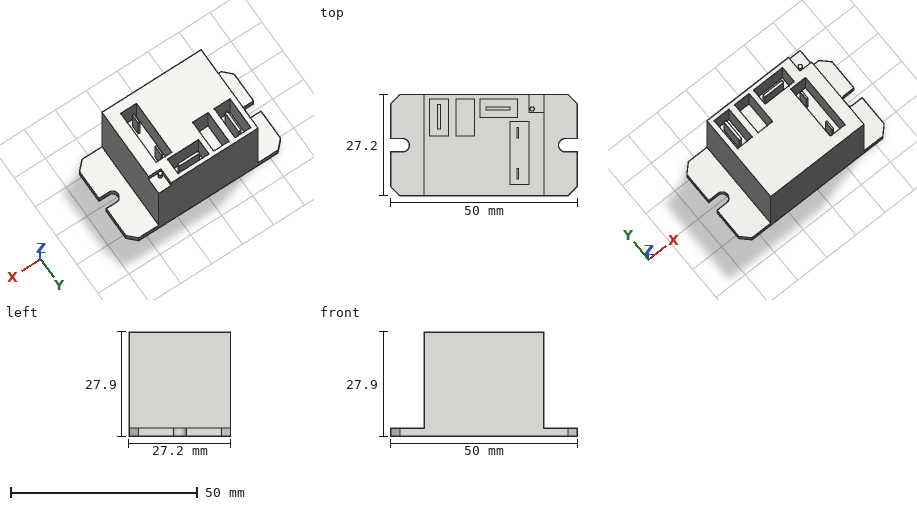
import cadquery as cq

FLANGE_LENGTH = 50.0
WIDTH = 27.2
FLANGE_THICKNESS = 2.2
CORNER_CHAMFER = 2.5
SLOT_WIDTH = 3.5
SLOT_DEPTH = 5.0

HOUSING_LENGTH = 32.1
TOTAL_HEIGHT = 27.9
HOUSING_RIGHT = HOUSING_LENGTH / 2
HOUSING_BACK = WIDTH / 2

POCKET_DEPTH = 10.0
POCKET_LENGTH = 10.0
POCKET_WIDTH = 5.0
WIDE_POCKET_WIDTH = 5.1
COIL_POCKET_LENGTH = 16.9
BACK_WALL = 1.2
POCKET_BACK = HOUSING_BACK - BACK_WALL
LEFT_POCKET_X = -12.0
MIDDLE_POCKET_X = -5.0
RIGHT_POCKET_X = 4.0
COIL_POCKET_X = 9.5
COIL_POCKET_Y = -2.05

POCKETS = [
    (LEFT_POCKET_X, POCKET_BACK - POCKET_LENGTH / 2, WIDE_POCKET_WIDTH, POCKET_LENGTH),
    (MIDDLE_POCKET_X, POCKET_BACK - POCKET_LENGTH / 2, POCKET_WIDTH, POCKET_LENGTH),
    (RIGHT_POCKET_X, POCKET_BACK - POCKET_WIDTH / 2, POCKET_LENGTH, POCKET_WIDTH),
    (COIL_POCKET_X, COIL_POCKET_Y, WIDE_POCKET_WIDTH, COIL_POCKET_LENGTH),
]

BLADE_RECESS = 2.0
LOAD_BLADE_LENGTH = 6.5
LOAD_BLADE_THICKNESS = 0.8
LEFT_BLADE_Y = 7.6
RIGHT_BLADE_X = 3.75
RIGHT_BLADE_Y = 9.8
COIL_BLADE_LENGTH = 2.8
COIL_BLADE_THICKNESS = 0.5
COIL_BLADE_X = 9.05
COIL_BLADE_SPACING = 10.9
COIL_BLADE_MIDDLE_Y = -2.15
COIL_BLADE_BACK_Y = COIL_BLADE_MIDDLE_Y + COIL_BLADE_SPACING / 2
COIL_BLADE_FRONT_Y = COIL_BLADE_MIDDLE_Y - COIL_BLADE_SPACING / 2

BLADES = [
    (LEFT_POCKET_X, LEFT_BLADE_Y, LOAD_BLADE_THICKNESS, LOAD_BLADE_LENGTH),
    (RIGHT_BLADE_X, RIGHT_BLADE_Y, LOAD_BLADE_LENGTH, LOAD_BLADE_THICKNESS),
    (COIL_BLADE_X, COIL_BLADE_BACK_Y, COIL_BLADE_THICKNESS, COIL_BLADE_LENGTH),
    (COIL_BLADE_X, COIL_BLADE_FRONT_Y, COIL_BLADE_THICKNESS, COIL_BLADE_LENGTH),
]

STEP_LENGTH = 4.0
STEP_WIDTH = 4.9
STEP_DEPTH = 2.0
PIN_DIAMETER = 1.16
PIN_X = 12.9
PIN_Y = 9.7


def upright_block(center_x, center_y, size_x, size_y, bottom, top):
    """Rectangular block between two heights."""
    return (
        cq.Workplane("XY", origin=(center_x, center_y, bottom))
        .rect(size_x, size_y)
        .extrude(top - bottom)
    )


def make_flange():
    """Base plate with chamfered corners and a round-ended open slot at each end."""
    flange = upright_block(0, 0, FLANGE_LENGTH, WIDTH, 0, FLANGE_THICKNESS)
    flange = flange.edges("|Z").chamfer(CORNER_CHAMFER)
    return (
        flange.faces(">Z").workplane(origin=(0, 0, 0))
        .pushPoints([(-FLANGE_LENGTH / 2, 0), (FLANGE_LENGTH / 2, 0)])
        .slot2D(2 * SLOT_DEPTH, SLOT_WIDTH)
        .cutThruAll()
    )


def make_housing():
    """Relay housing with its terminal pockets and blades."""
    housing = upright_block(0, 0, HOUSING_LENGTH, WIDTH, 0, TOTAL_HEIGHT)
    pocket_floor = TOTAL_HEIGHT - POCKET_DEPTH
    blade_tip = TOTAL_HEIGHT - BLADE_RECESS
    for pocket in POCKETS:
        housing = housing.cut(upright_block(*pocket, pocket_floor, TOTAL_HEIGHT))
    for blade in BLADES:
        housing = housing.union(upright_block(*blade, FLANGE_THICKNESS, blade_tip))
    return housing


def step_corner(body):
    """Lower the back right corner and leave a round pin standing to the full height."""
    step_floor = TOTAL_HEIGHT - STEP_DEPTH
    step_x = HOUSING_RIGHT - STEP_LENGTH / 2
    step_y = HOUSING_BACK - STEP_WIDTH / 2
    step = upright_block(step_x, step_y, STEP_LENGTH, STEP_WIDTH, step_floor, TOTAL_HEIGHT)
    pin = (
        cq.Workplane("XY", origin=(PIN_X, PIN_Y, FLANGE_THICKNESS))
        .circle(PIN_DIAMETER / 2)
        .extrude(TOTAL_HEIGHT - FLANGE_THICKNESS)
    )
    return body.cut(step).union(pin)


result = step_corner(make_flange().union(make_housing()))